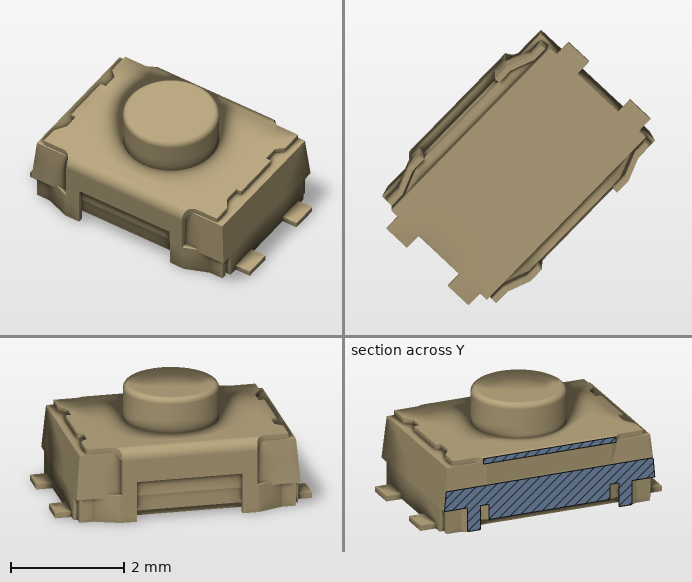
import cadquery as cq

total_height = 2.01
skirt_bottom = 0.455
housing_top = 1.26
sheet = 0.1
cover_top = housing_top + sheet

housing_half_x = 2.03
housing_half_y = 1.395
housing_taper = 0.07
base_half_y = 1.165

rib_bottom = 0.165
rib_half_y = 1.37
rib_half_x = 1.15

pad_half_y = 1.36
pad_inner_half_x = 1.21
pad_outer_half_x = 1.325

cover_half_y = 1.5
bend_radius = 0.2
plate_half_x = 1.83
plate_half_y = cover_half_y - bend_radius
flange_half_x = 1.225
relief_radius = 0.2
notch_x = 1.695
tongue_x = 1.80
tongue_half_y = 0.477
notch_end_y = 0.765
back_lug_y = 0.885
front_lug_y = 0.975

window_half_x = 0.96
window_top = 0.75
leg_top = 0.51
joggle_start_x = 1.255
joggle_end_x = 1.695
leg_setback = 0.01
joggle_depth = 0.17
leg_end_x = 1.96
joggle_run = (joggle_end_x - joggle_start_x) / joggle_depth

terminal_half_x = 2.325
terminal_thickness = 0.1
terminal_width = 0.5
terminal_y = 0.75

button_radius = 0.85
button_fillet = 0.1


def prism(points, bottom, top):
    """Closed XY polygon extruded between two heights."""
    return cq.Workplane("XY").workplane(offset=bottom).polyline(points).close().extrude(top - bottom)


def block(half_x, half_y, bottom, top):
    """Box centred on the Z axis between two heights."""
    return (
        cq.Workplane("XY").workplane(offset=bottom)
        .rect(2 * half_x, 2 * half_y).extrude(top - bottom)
    )


def make_housing():
    base = block(housing_half_x, base_half_y, 0, skirt_bottom)
    upper = (
        cq.Workplane("XY").workplane(offset=skirt_bottom)
        .rect(2 * housing_half_x, 2 * housing_half_y)
        .workplane(offset=housing_top - skirt_bottom)
        .rect(2 * (housing_half_x - housing_taper), 2 * (housing_half_y - housing_taper))
        .loft(ruled=True)
    )
    return base.union(upper)


def make_double_trapezoid(wide_x, wide_y, narrow_x, narrow_y, bottom, top):
    """Bar across the housing whose two Y ends narrow from wide_x to narrow_x."""
    points = [
        (-narrow_x, -narrow_y), (narrow_x, -narrow_y), (wide_x, -wide_y), (wide_x, wide_y),
        (narrow_x, narrow_y), (-narrow_x, narrow_y), (-wide_x, wide_y), (-wide_x, -wide_y),
    ]
    return prism(points, bottom, top)


def make_ribs():
    root_half_x = rib_half_x + (rib_half_y - base_half_y) * joggle_run
    return make_double_trapezoid(
        root_half_x, base_half_y, rib_half_x, rib_half_y, rib_bottom, skirt_bottom
    )


def make_pads():
    return make_double_trapezoid(
        pad_outer_half_x, housing_half_y - housing_taper,
        pad_inner_half_x, pad_half_y, skirt_bottom, housing_top,
    )


def make_plate():
    right_end = [
        (plate_half_x, -plate_half_y),
        (plate_half_x, -front_lug_y),
        (notch_x, -notch_end_y),
        (notch_x, -tongue_half_y),
        (tongue_x, -tongue_half_y),
        (tongue_x, tongue_half_y),
        (notch_x, tongue_half_y),
        (notch_x, notch_end_y),
        (plate_half_x, back_lug_y),
        (plate_half_x, plate_half_y),
    ]
    left_end = [(-x, y) for x, y in reversed(right_end)]
    return prism(right_end + left_end, housing_top, cover_top)


def make_bent_flanges():
    """Inverted channel with rounded bends, narrowing from the plate to the flanges."""
    bend_bottom = cover_top - bend_radius
    trim_half_x = flange_half_x + relief_radius
    outer = (
        block(trim_half_x, cover_half_y, leg_top, cover_top)
        .edges("|X and >Z").fillet(bend_radius)
    )
    inner = (
        block(trim_half_x, cover_half_y - sheet, leg_top, housing_top)
        .edges("|X and >Z").fillet(bend_radius - sheet)
    )
    channel = outer.cut(inner)
    reliefs = (
        cq.Workplane("XY").workplane(offset=bend_bottom)
        .rect(2 * trim_half_x, 2 * cover_half_y, forConstruction=True).vertices()
        .circle(relief_radius).extrude(bend_radius)
    )
    flange_trim = block(trim_half_x, cover_half_y, leg_top, bend_bottom).cut(
        block(flange_half_x, cover_half_y, leg_top, bend_bottom)
    )
    window = block(window_half_x, cover_half_y, 0, window_top)
    return channel.cut(reliefs).cut(flange_trim).cut(window)


def make_rear_right_leg():
    """Leg that steps inwards towards the end of the housing."""
    outer_y = cover_half_y - leg_setback
    inner_y = outer_y - sheet
    points = [
        (window_half_x, outer_y),
        (joggle_start_x, outer_y),
        (joggle_end_x, outer_y - joggle_depth),
        (leg_end_x, outer_y - joggle_depth),
        (leg_end_x, inner_y - joggle_depth),
        (joggle_end_x, inner_y - joggle_depth),
        (joggle_start_x, inner_y),
        (window_half_x, inner_y),
    ]
    return prism(points, 0, leg_top)


def make_legs():
    right_leg = make_rear_right_leg()
    rear_legs = right_leg.union(right_leg.mirror("YZ"))
    return rear_legs.union(rear_legs.mirror("XZ"))


def make_terminals():
    terminals = cq.Workplane("XY")
    for y in (-terminal_y, terminal_y):
        bar = block(terminal_half_x, terminal_width / 2, 0, terminal_thickness)
        terminals = terminals.union(bar.translate((0, y, 0)))
    return terminals


def make_button():
    return (
        cq.Workplane("XY").workplane(offset=housing_top)
        .circle(button_radius).extrude(total_height - housing_top)
        .faces(">Z").edges().fillet(button_fillet)
    )


result = (
    make_housing()
    .union(make_ribs())
    .union(make_pads())
    .union(make_plate())
    .union(make_bent_flanges())
    .union(make_legs())
    .union(make_terminals())
    .union(make_button())
)